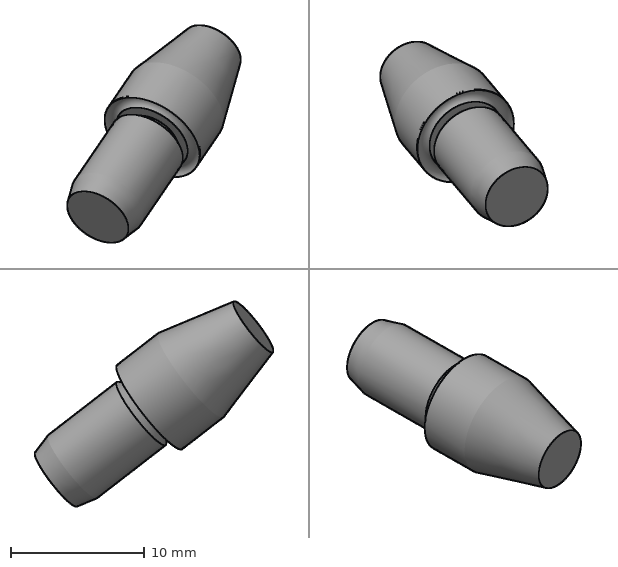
import cadquery as cq

total_length = 19.0
nose_length = 6.0
collar_length = 3.99
neck_length = 0.8
lead_in_length = 1.6

collar_diameter = 8.0
collar_radius = collar_diameter / 2
nose_tip_radius = 2.41
shank_radius = 3.0
shank_end_radius = 2.58
neck_radius = shank_radius - neck_length

collar_front = total_length - nose_length
collar_back = collar_front - collar_length
shank_top = collar_back - neck_length

groove_radius = (collar_radius - shank_radius) / 2
groove_center = shank_radius + groove_radius

profile = (
    cq.Workplane("XY")
    .lineTo(shank_end_radius, 0)
    .lineTo(shank_radius, lead_in_length)
    .lineTo(shank_radius, shank_top)
    .lineTo(neck_radius, collar_back)
    .lineTo(shank_radius, collar_back)
    .threePointArc((groove_center, collar_back + groove_radius), (collar_radius, collar_back))
    .lineTo(collar_radius, collar_front)
    .lineTo(nose_tip_radius, total_length)
    .lineTo(0, total_length)
    .close()
)

result = profile.revolve(360, (0, 0, 0), (0, 1, 0))